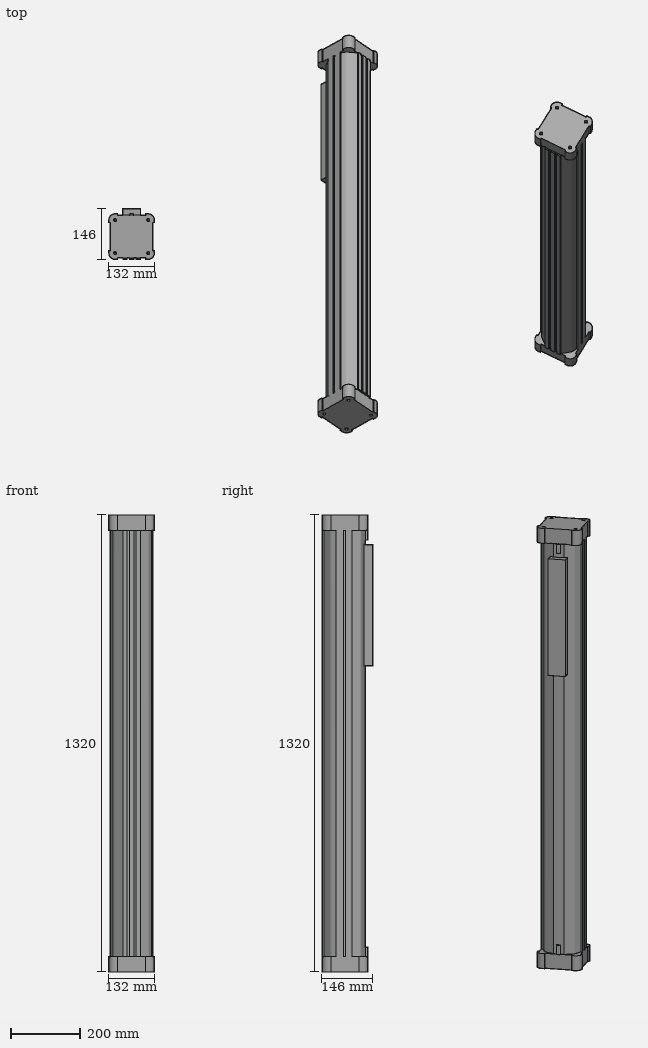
import cadquery as cq

length = 1320.0
cap_width = 132.0
cap_height = 45.0

lobe_step = 4.4
lobe_flat_width = 7.5
flat_length = 80.0
counterbore_diameter = 8.3
counterbore_depth = 13.0
screw_hole_diameter = 6.0
screw_hole_depth = 26.0

pad_height = 4.6
front_bend_radius = 13.0
rear_bend_radius = 9.0
front_pad_edges = [(-25.0, -13.0), (-7.0, 7.0), (13.0, 25.0)]
side_pad_edges = [(-26.0, -5.0), (1.0, 20.0)]
front_bend = (50.0, -41.0)
rear_bend = (44.0, 46.0)
crest_half_width = 16.0

box_width = 51.0
box_length = 350.0
box_bottom = 885.0
box_outer_y = 80.0

clip_width = 12.0
clip_length = 28.0
clip_depth = 7.5
clip_corner_diameter = 6.0

cap_half = cap_width / 2
flat_half = cap_half - lobe_step
lobe_radius = cap_half - flat_length / 2 - lobe_flat_width
screw_hole_spacing = cap_width - 2 * lobe_radius
profile_length = length - 2 * cap_height
front_floor_y = -(cap_half - pad_height)
side_floor_x = flat_half - pad_height
crest_y = cap_half - clip_depth


def block(x_range, y_range, z_range):
    """Box between the given limits along each axis."""
    size = [high - low for low, high in (x_range, y_range, z_range)]
    corner = (x_range[0], y_range[0], z_range[0])
    return cq.Workplane("XY").box(*size, centered=False).translate(corner)


def make_cap(bottom):
    """End cap with rounded corner lobes."""
    cap = cq.Workplane("XY").rect(cap_width, cap_width).extrude(cap_height)
    cap = cap.edges("|Z").fillet(lobe_radius)
    recesses = (
        cq.Workplane("XY")
        .rect(2 * cap_width, flat_length)
        .extrude(cap_height)
        .union(cq.Workplane("XY").rect(flat_length, 2 * cap_width).extrude(cap_height))
        .cut(cq.Workplane("XY").rect(2 * flat_half, 2 * flat_half).extrude(cap_height))
    )
    return cap.cut(recesses).translate((0, 0, bottom))


def make_profile():
    """Profile between the caps: the sloping outline, its rounded bends and its pads."""
    right_side = [
        (front_pad_edges[-1][1], front_floor_y),
        front_bend,
        (side_floor_x, side_pad_edges[0][0]),
        (side_floor_x, side_pad_edges[-1][1]),
        rear_bend,
        (crest_half_width, crest_y),
    ]
    left_side = [(-x, y) for x, y in reversed(right_side)]
    profile = cq.Workplane("XY").polyline(right_side + left_side).close().extrude(profile_length)
    for (x, y), radius in ((front_bend, front_bend_radius), (rear_bend, rear_bend_radius)):
        for side in (-1, 1):
            bend_edge = cq.selectors.NearestToPointSelector((side * x, y, profile_length / 2))
            profile = profile.edges(bend_edge).fillet(radius)

    for low, high in front_pad_edges:
        profile = profile.union(block((low, high), (-cap_half, 0), (0, profile_length)))
    for low, high in side_pad_edges:
        profile = profile.union(block((-flat_half, flat_half), (low, high), (0, profile_length)))
    return profile.translate((0, 0, cap_height))


def cut_screw_holes(housing, end_face):
    """Counterbored blind holes, concentric with the lobes, in one end of the housing."""
    return (
        housing.faces(end_face)
        .workplane(origin=(0, 0, 0))
        .rect(screw_hole_spacing, screw_hole_spacing, forConstruction=True)
        .vertices()
        .cboreHole(screw_hole_diameter, counterbore_diameter, counterbore_depth, screw_hole_depth)
    )


def make_housing():
    """Profile, both caps and the box on the +Y side as one solid."""
    top_cap_bottom = length - cap_height
    box = block(
        (-box_width / 2, box_width / 2),
        (0, box_outer_y),
        (box_bottom, box_bottom + box_length),
    )
    housing = make_profile().union(make_cap(0)).union(make_cap(top_cap_bottom)).union(box).clean()
    for end_face in ("<Z", ">Z"):
        housing = cut_screw_holes(housing, end_face)
    return housing


def make_clip(bottom):
    """Small bar on the crest with rounded outer corners."""
    clip = block(
        (-clip_width / 2, clip_width / 2),
        (crest_y, cap_half),
        (bottom, bottom + clip_length),
    )
    return clip.edges("|Z and >Y").fillet(clip_corner_diameter / 2)


housing = make_housing()
clips = [make_clip(bottom) for bottom in (cap_height, length - cap_height - clip_length)]

result = cq.Compound.makeCompound([housing.val(), *[clip.val() for clip in clips]])